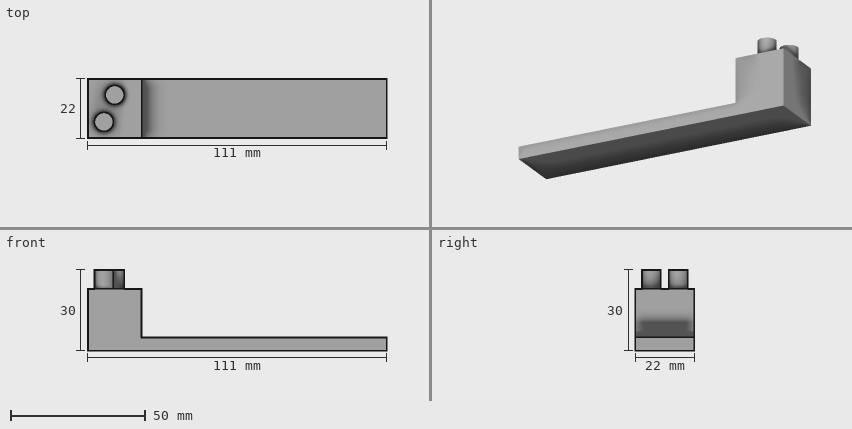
import cadquery as cq

length = 111.0
width = 22.0
plate_thickness = 5.0

block_length = 20.0
block_height = 23.0

overall_height = 30.0
pin_diameter = 7.1
pin_height = overall_height - block_height
pin_centers = [(6.0, 6.0), (10.0, 16.0)]


def make_body():
    """L-shaped side profile extruded across the width, from Y = 0 to Y = width."""
    profile = [
        (0, 0),
        (length, 0),
        (length, plate_thickness),
        (block_length, plate_thickness),
        (block_length, block_height),
        (0, block_height),
    ]
    return cq.Workplane("XZ").polyline(profile).close().extrude(-width)


def make_pins():
    """Round pins standing on the block's top face."""
    top_plane = cq.Workplane("XY").workplane(offset=block_height)
    return top_plane.pushPoints(pin_centers).circle(pin_diameter / 2).extrude(pin_height)


result = make_body().union(make_pins())